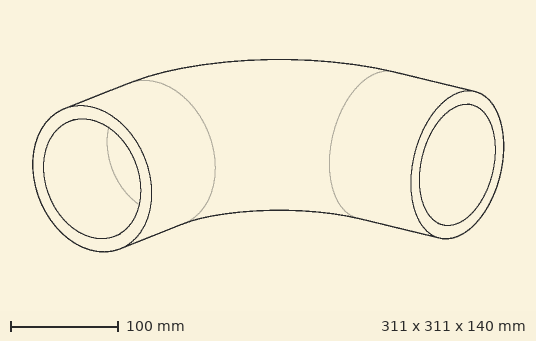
import cadquery as cq
import math

overall_size = 311.0
outer_diameter = 140.0
bore_diameter = 114.5
spigot_length = 95.8

bend_radius = overall_size - spigot_length - outer_diameter / 2

bend_start = (0, spigot_length)
bend_middle = (
    bend_radius * (1 - math.cos(math.pi / 4)),
    spigot_length + bend_radius * math.sin(math.pi / 4),
)
bend_end = (bend_radius, spigot_length + bend_radius)
far_mouth = (bend_radius + spigot_length, spigot_length + bend_radius)

centreline = (
    cq.Workplane("XY")
    .lineTo(*bend_start)
    .threePointArc(bend_middle, bend_end)
    .lineTo(*far_mouth)
)

result = (
    cq.Workplane("XZ")
    .circle(outer_diameter / 2)
    .circle(bore_diameter / 2)
    .sweep(centreline)
)